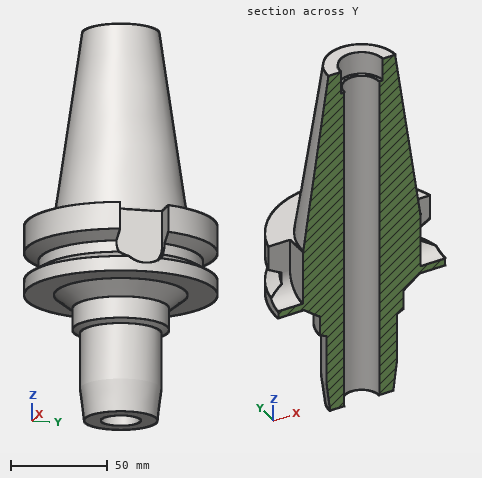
import cadquery as cq

TOTAL_HEIGHT = 206.8
GAUGE_Z = 105.0
FLANGE_TOP_Z = 103.6
GROOVE_UPPER_RIM_Z = 89.3
GROOVE_LOWER_RIM_Z = 74.7
FLANGE_BOTTOM_Z = 67.0
COLLAR_TOP_Z = 59.8
COLLAR_BOTTOM_Z = 48.4
BODY_TOP_Z = 46.5
NOSE_TAPER_Z = 16.8

TAPER_TOP_RADIUS = 20.0
GAUGE_RADIUS = 35.0
FLANGE_RADIUS = 50.0
GROOVE_RADIUS = 42.5
SKIRT_RADIUS = 34.5
COLLAR_RADIUS = 25.0
BODY_RADIUS = 21.0
NOSE_RADIUS = 19.0
BORE_RADIUS = 10.3

GROOVE_FLANK_HEIGHT = 4.3

COUNTERBORE_RADIUS = 12.5
COUNTERBORE_DEPTH = 13.2

SLOT_WIDTH = 25.6
SLOT_FLOOR_X = 35.4
SLOT_BOTTOM_Z = 71.5


def make_body():
    """Revolve the taper, grooved flange, collar and nose about Z."""
    profile = [
        (0, 0),
        (NOSE_RADIUS, 0),
        (BODY_RADIUS, NOSE_TAPER_Z),
        (BODY_RADIUS, BODY_TOP_Z),
        (COLLAR_RADIUS, COLLAR_BOTTOM_Z),
        (COLLAR_RADIUS, COLLAR_TOP_Z),
        (SKIRT_RADIUS, FLANGE_BOTTOM_Z),
        (FLANGE_RADIUS, FLANGE_BOTTOM_Z),
        (FLANGE_RADIUS, GROOVE_LOWER_RIM_Z),
        (GROOVE_RADIUS, GROOVE_LOWER_RIM_Z + GROOVE_FLANK_HEIGHT),
        (GROOVE_RADIUS, GROOVE_UPPER_RIM_Z - GROOVE_FLANK_HEIGHT),
        (FLANGE_RADIUS, GROOVE_UPPER_RIM_Z),
        (FLANGE_RADIUS, FLANGE_TOP_Z),
        (GAUGE_RADIUS, FLANGE_TOP_Z),
        (GAUGE_RADIUS, GAUGE_Z),
        (TAPER_TOP_RADIUS, TOTAL_HEIGHT),
        (0, TOTAL_HEIGHT),
    ]
    return cq.Workplane("XZ").polyline(profile).close().revolve(360, (0, 0), (0, 1))


def make_bore():
    """Through bore with a counterbore at the top."""
    bore = cq.Workplane("XY").circle(BORE_RADIUS).extrude(TOTAL_HEIGHT)
    counterbore = (
        cq.Workplane("XY", origin=(0, 0, TOTAL_HEIGHT))
        .circle(COUNTERBORE_RADIUS)
        .extrude(-COUNTERBORE_DEPTH)
    )
    return bore.union(counterbore)


def make_drive_slot():
    """Cutter for the slot on the +X side, open at the flange top and rim."""
    half_width = SLOT_WIDTH / 2
    arc_center_z = SLOT_BOTTOM_Z + half_width
    return (
        cq.Workplane("YZ", origin=(SLOT_FLOOR_X, 0, 0))
        .moveTo(-half_width, FLANGE_TOP_Z)
        .lineTo(-half_width, arc_center_z)
        .threePointArc((0, SLOT_BOTTOM_Z), (half_width, arc_center_z))
        .lineTo(half_width, FLANGE_TOP_Z)
        .close()
        .extrude(FLANGE_RADIUS - SLOT_FLOOR_X)
    )


result = make_body().cut(make_bore())
for slot_angle in (0, 180):
    result = result.cut(make_drive_slot().rotate((0, 0, 0), (0, 0, 1), slot_angle))